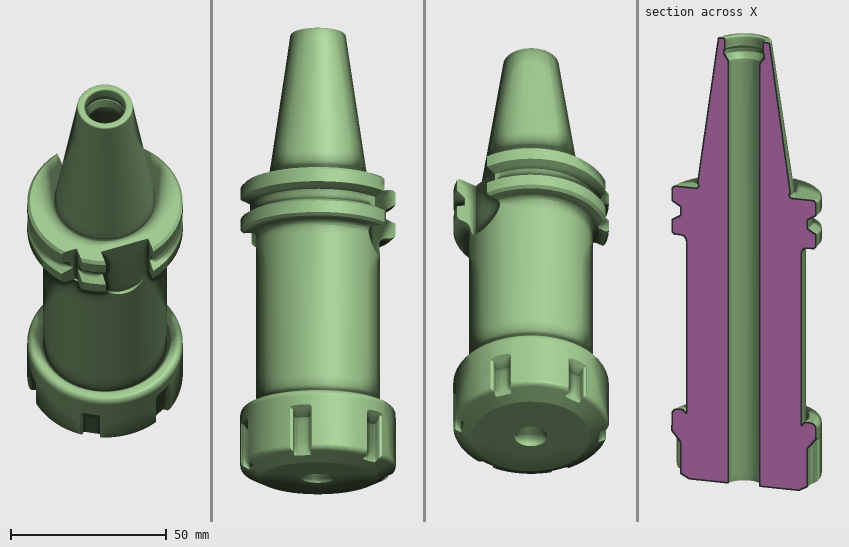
import cadquery as cq

half_turn = 180
full_turn = 360

total_length = 147.8
outer_radius = 25.0

nut_height = 22.9
nut_top_fillet = 2.0
nut_lower_radius = 18.9
nut_cone_height = 3.1
nut_cone_fillet = 1.9
nut_bore_radius = 21.1
body_radius = 20.0

flange_top = 97.0
flange_bottom = 80.8
flange_chamfer = 0.9
neck_fillet = 1.9
groove_height = 88.8
groove_floor_radius = 22.0
groove_floor_width = 3.0
groove_mouth_width = 6.4

taper_bottom = 98.5
taper_bottom_radius = 16.1
taper_top_radius = 8.9
taper_edge_fillet = 0.6
undercut_radius = 15.8
undercut_fillet = 0.6

bore_radius = 5.3
counterbore_radius = 6.5
counterbore_depth = 3.5
counterbore_fillet = 0.7
relief_radius = 7.0
relief_flare_height = 0.7
relief_height = 1.9
bore_cone_height = 2.0

slot_width = 16.1
deep_slot_floor = 16.1
shallow_slot_floor = 18.8
notch_offset = 15.0

pocket_count = 6
pocket_floor_distance = 22.0
pocket_width = 5.8
pocket_floor_fillet = 0.6
pocket_flare = 1.3
pocket_flare_depth = 0.9
pocket_mouth_width = 7.2
pocket_ceiling_drop = 3.4
pocket_corner_radius = 1.5
first_pocket_angle = 30
low_pocket_top = 15.5
high_pocket_top = 17.7


def make_nut():
    countersink_bottom = nut_height - (nut_bore_radius - body_radius)
    outline = (
        cq.Workplane("YZ")
        .lineTo(nut_lower_radius, 0)
        .lineTo(outer_radius, nut_cone_height)
        .lineTo(outer_radius, nut_height - nut_top_fillet)
        .radiusArc((outer_radius - nut_top_fillet, nut_height), -nut_top_fillet)
        .lineTo(nut_bore_radius, nut_height)
        .lineTo(body_radius, countersink_bottom)
        .lineTo(0, countersink_bottom)
        .close()
    )
    nut = outline.revolve(full_turn, (0, 0, 0), (0, 1, 0))
    widest_edges = nut.edges(cq.selectors.RadiusNthSelector(-1))
    return widest_edges.edges("<Z").fillet(nut_cone_fillet)


def make_shank():
    groove_floor = groove_floor_width / 2
    groove_mouth = groove_mouth_width / 2
    flange_face_radius = outer_radius - flange_chamfer
    outline = (
        cq.Workplane("YZ")
        .moveTo(0, nut_cone_height)
        .lineTo(body_radius, nut_cone_height)
        .lineTo(body_radius, flange_bottom - neck_fillet)
        .radiusArc((body_radius + neck_fillet, flange_bottom), neck_fillet)
        .lineTo(flange_face_radius, flange_bottom)
        .lineTo(outer_radius, flange_bottom + flange_chamfer)
        .lineTo(outer_radius, groove_height - groove_mouth)
        .lineTo(groove_floor_radius, groove_height - groove_floor)
        .lineTo(groove_floor_radius, groove_height + groove_floor)
        .lineTo(outer_radius, groove_height + groove_mouth)
        .lineTo(outer_radius, flange_top - flange_chamfer)
        .lineTo(flange_face_radius, flange_top)
        .lineTo(undercut_radius + undercut_fillet, flange_top)
        .radiusArc((undercut_radius, flange_top + undercut_fillet), undercut_fillet)
        .lineTo(undercut_radius, taper_bottom)
        .lineTo(taper_bottom_radius, taper_bottom)
        .lineTo(taper_top_radius, total_length)
        .lineTo(0, total_length)
        .close()
    )
    shank = outline.revolve(full_turn, (0, 0, 0), (0, 1, 0))
    return shank.faces(">Z").edges().fillet(taper_edge_fillet)


def make_bore():
    relief_top = total_length - counterbore_depth
    relief_bottom = relief_top - relief_height
    outline = (
        cq.Workplane("YZ")
        .lineTo(bore_radius, 0)
        .lineTo(bore_radius, relief_bottom - bore_cone_height)
        .lineTo(counterbore_radius, relief_bottom)
        .lineTo(relief_radius, relief_bottom)
        .lineTo(relief_radius, relief_top - relief_flare_height)
        .lineTo(counterbore_radius, relief_top)
        .lineTo(counterbore_radius, total_length - counterbore_fillet)
        .radiusArc((counterbore_radius + counterbore_fillet, total_length), counterbore_fillet)
        .lineTo(0, total_length)
        .close()
    )
    return outline.revolve(full_turn, (0, 0, 0), (0, 1, 0))


def make_drive_slot(floor_distance):
    """Round-ended slot on the +X side; its end is centred on the lower flange face."""
    half_width = slot_width / 2
    return (
        cq.Workplane("YZ")
        .workplane(offset=floor_distance)
        .moveTo(-half_width, flange_top)
        .lineTo(-half_width, flange_bottom)
        .threePointArc((0, flange_bottom - half_width), (half_width, flange_bottom))
        .lineTo(half_width, flange_top)
        .close()
        .extrude(outer_radius)
    )


def make_notch():
    return (
        cq.Workplane("XY")
        .workplane(offset=flange_bottom)
        .moveTo(notch_offset, -notch_offset)
        .rect(outer_radius, -outer_radius, centered=False)
        .extrude(flange_top - flange_bottom)
    )


def make_pocket(top):
    """Pocket on the +X side with a sloping ceiling, open at the bottom."""
    half_width = pocket_width / 2
    half_mouth = half_width + pocket_flare
    flare_start = outer_radius - pocket_flare_depth
    plan = [
        (pocket_floor_distance, -half_width),
        (flare_start, -half_width),
        (outer_radius, -half_mouth),
        (outer_radius, half_mouth),
        (flare_start, half_width),
        (pocket_floor_distance, half_width),
    ]
    side = [
        (pocket_floor_distance, 0),
        (outer_radius, 0),
        (outer_radius, top),
        (pocket_floor_distance, top - pocket_ceiling_drop),
    ]
    walls = cq.Workplane("XY").polyline(plan).close().extrude(top)
    walls = walls.edges("|Z and <X").fillet(pocket_floor_fillet)
    ceiling = cq.Workplane("XZ").polyline(side).close().extrude(half_mouth, both=True)
    mouth = cq.Workplane("XY").box(outer_radius, pocket_mouth_width, top, centered=(False, True, False))
    mouth = mouth.edges("|X and >Z").fillet(pocket_corner_radius)
    return walls.intersect(ceiling).intersect(mouth)


nut = make_nut()
for index in range(pocket_count):
    angle = first_pocket_angle + index * full_turn / pocket_count
    top = high_pocket_top if angle < half_turn else low_pocket_top
    nut = nut.cut(make_pocket(top).rotate((0, 0, 0), (0, 0, 1), angle))

shank = (
    make_shank()
    .cut(make_drive_slot(shallow_slot_floor))
    .cut(make_drive_slot(deep_slot_floor).rotate((0, 0, 0), (0, 0, 1), half_turn))
    .cut(make_notch())
)

result = nut.union(shank).cut(make_bore())